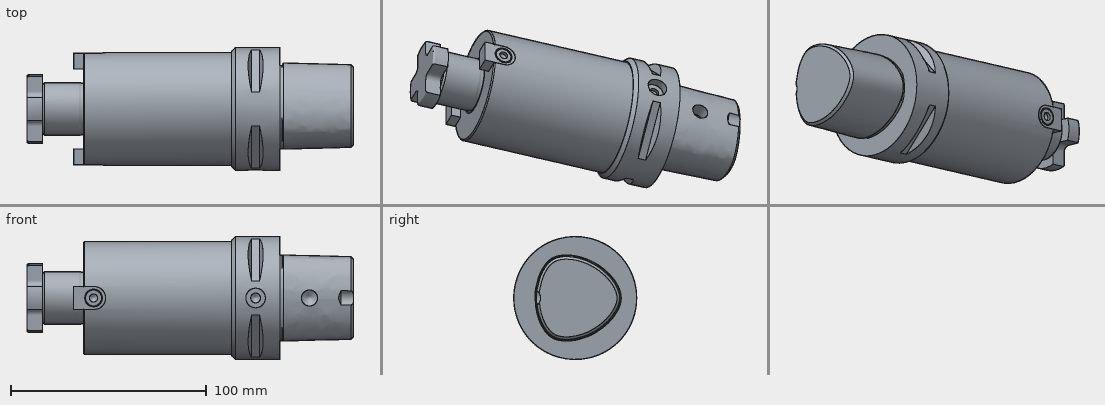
import cadquery as cq
import math


HEAD_BACK = 8.0
PILOT_START = 9.0
UNDERCUT_START = 26.9
BODY_FRONT = 28.9
BODY_BACK = 104.5
FLANGE_BACK = 129.3
NECK_END = 131.1
TAPER_START = 132.0
TOTAL_LENGTH = 167.0

HEAD_DIAMETER = 35.0
HEAD_EDGE_RADIUS = 1.0
ARM_WIDTH = 11.7
ARM_CORNER_RADIUS = 3.0
HEAD_NECK_DIAMETER = 24.7

PILOT_DIAMETER = 27.0
UNDERCUT_DIAMETER = 26.5
UNDERCUT_RAMP = 1.0
FACE_RELIEF_DEPTH = 0.25
FACE_RELIEF_FLOOR_DIAMETER = 28.0
FACE_RELIEF_DIAMETER = 29.4
BODY_DIAMETER = 58.0
BODY_CHAMFER = 0.7
FLANGE_DIAMETER = 63.0
FLANGE_FRONT_DIAMETER = 58.8
FLANGE_BEVEL = (FLANGE_DIAMETER - FLANGE_FRONT_DIAMETER) / 2

KEY_WIDTH = 11.7
KEY_FRONT = 23.9
KEY_ROUND_CENTER = 34.4
KEY_INNER = 20.4
KEY_OUTER = 28.5
SCREW_X = 34.0
SCREW_RECESS_DIAMETER = 9.0
SCREW_RECESS_DEPTH = 1.0
SCREW_HEAD_DIAMETER = 8.2
SCREW_SOCKET_DIAMETER = 4.2
SCREW_SOCKET_DEPTH = 1.7

GRIP_X = 116.9
GRIP_FLOOR_WIDTH = 4.0
GRIP_FLOOR_DISTANCE = 27.5
GRIP_MOUTH_WIDTH = 7.7
PORT_DIAMETER = 10.0
PORT_DEPTH = 5.0
PORT_DRILL_DIAMETER = 5.0
PORT_DRILL_DEPTH = 1.7

SHANK_RADIUS = 22.0
LOBE_HEIGHT = 1.5
LOBES = 3
LOBE_STEPS = 12
TAPER_SLOPE = 1 / 40
SHANK_END_CHAMFER = 1.3
NECK_INSET = 0.2
NECK_ROUND_RADIUS = 22.4
NECK_RAMP = 0.7

DRILL_POINT_ANGLE = 118
SHANK_HOLE_X = 144.5
SHANK_HOLE_DIAMETER = 8.2
SHANK_HOLE_DEPTH = 8.4
NOTCH_DIAMETER = 9.0
NOTCH_START = 160.7
NOTCH_OFFSET = 22.2


def drill(start, direction, diameter, depth):
    """Drilled hole with a pointed bottom; depth is that of the cylindrical part."""
    radius = diameter / 2
    tip = radius / math.tan(math.radians(DRILL_POINT_ANGLE / 2))
    cylinder = cq.Solid.makeCylinder(radius, depth, start, direction)
    point = cq.Solid.makeCone(radius, 0, tip, start + direction * depth, direction)
    return cq.Workplane(cylinder).union(cq.Workplane(point))


def turn(shape, angle):
    """Shape rotated about the part axis."""
    return shape.rotate((0, 0, 0), (1, 0, 0), angle)


def revolve_profile(profile):
    """Solid of revolution about X from (station, radius) points."""
    return cq.Workplane("XY").polyline(profile).close().revolve(360, (0, 0), (1, 0))


def make_turned_body():
    """Pilot, body and flange as one revolved profile."""
    profile = [
        (HEAD_BACK, 0),
        (HEAD_BACK, HEAD_NECK_DIAMETER / 2),
        (PILOT_START, PILOT_DIAMETER / 2),
        (UNDERCUT_START, PILOT_DIAMETER / 2),
        (UNDERCUT_START + UNDERCUT_RAMP, UNDERCUT_DIAMETER / 2),
        (BODY_FRONT + FACE_RELIEF_DEPTH, UNDERCUT_DIAMETER / 2),
        (BODY_FRONT + FACE_RELIEF_DEPTH, FACE_RELIEF_FLOOR_DIAMETER / 2),
        (BODY_FRONT, FACE_RELIEF_DIAMETER / 2),
        (BODY_FRONT, BODY_DIAMETER / 2 - BODY_CHAMFER),
        (BODY_FRONT + BODY_CHAMFER, BODY_DIAMETER / 2),
        (BODY_BACK, BODY_DIAMETER / 2),
        (BODY_BACK, FLANGE_FRONT_DIAMETER / 2),
        (BODY_BACK + FLANGE_BEVEL, FLANGE_DIAMETER / 2),
        (FLANGE_BACK, FLANGE_DIAMETER / 2),
        (FLANGE_BACK, 0),
    ]
    return revolve_profile(profile)


def make_cross_head():
    """Disc with a rounded front rim, trimmed to a cross with rounded inner corners."""
    disc = cq.Workplane("YZ").circle(HEAD_DIAMETER / 2).extrude(HEAD_BACK)
    disc = disc.faces("<X").edges().fillet(HEAD_EDGE_RADIUS)
    arm = cq.Workplane("YZ").rect(ARM_WIDTH, HEAD_DIAMETER).extrude(HEAD_BACK)
    cross = arm.union(turn(arm, 90))
    inside_neck = cq.selectors.BoxSelector(
        (0, -HEAD_NECK_DIAMETER / 2, -HEAD_NECK_DIAMETER / 2),
        (HEAD_BACK, HEAD_NECK_DIAMETER / 2, HEAD_NECK_DIAMETER / 2),
    )
    cross = cross.edges("|X").edges(inside_neck).fillet(ARM_CORNER_RADIUS)
    return disc.intersect(cross)


def lobed_wire(x, radius):
    """Constant-width three-lobed outline at station x, one lobe toward +Y, split at its flats."""
    lobe_angle = 2 * math.pi / LOBES

    def point(angle):
        reach = radius + LOBE_HEIGHT * math.cos(LOBES * angle)
        slope = -LOBES * LOBE_HEIGHT * math.sin(LOBES * angle)
        y = reach * math.cos(angle) - slope * math.sin(angle)
        z = reach * math.sin(angle) + slope * math.cos(angle)
        return cq.Vector(x, y, z)

    def tangent(angle):
        return cq.Vector(0, -math.sin(angle), math.cos(angle))

    edges = []
    for lobe in range(LOBES):
        start = (lobe - 0.5) * lobe_angle
        angles = [start + step * lobe_angle / LOBE_STEPS for step in range(LOBE_STEPS + 1)]
        ends = [tangent(angles[0]), tangent(angles[-1])]
        edges.append(cq.Edge.makeSpline([point(angle) for angle in angles], tangents=ends))
    return cq.Wire.assembleEdges(edges)


def lobed_solid(sections):
    """Solid with straight walls through (station, radius) sections."""
    return cq.Workplane(cq.Solid.makeLoft([lobed_wire(x, radius) for x, radius in sections], True))


def make_shank():
    """Short straight collar, then the taper and its end chamfer."""
    chamfer_start = TOTAL_LENGTH - SHANK_END_CHAMFER
    small_radius = SHANK_RADIUS - TAPER_SLOPE * (chamfer_start - TAPER_START)
    return lobed_solid([
        (NECK_END, SHANK_RADIUS),
        (TAPER_START, SHANK_RADIUS),
        (chamfer_start, small_radius),
        (TOTAL_LENGTH, small_radius - SHANK_END_CHAMFER),
    ])


def make_shank_neck():
    """Slightly smaller lobed neck whose lobes are turned down round, with a ramp up to the shank."""
    neck_radius = SHANK_RADIUS - NECK_INSET
    neck = lobed_solid([(FLANGE_BACK, neck_radius), (NECK_END, neck_radius)])
    turned_profile = [
        (FLANGE_BACK, 0),
        (FLANGE_BACK, NECK_ROUND_RADIUS),
        (NECK_END - NECK_RAMP, NECK_ROUND_RADIUS),
        (NECK_END, SHANK_RADIUS + LOBE_HEIGHT),
        (NECK_END, 0),
    ]
    return neck.intersect(revolve_profile(turned_profile))


def key_prism(inner, outer):
    """Round-ended key outline between two distances from the axis, on the -Y side."""
    half = KEY_WIDTH / 2
    return (
        cq.Workplane("XZ", origin=(0, -inner, 0))
        .moveTo(KEY_FRONT, -half)
        .lineTo(KEY_ROUND_CENTER, -half)
        .threePointArc((KEY_ROUND_CENTER + half, 0), (KEY_ROUND_CENTER, half))
        .lineTo(KEY_FRONT, half)
        .close()
        .extrude(outer - inner)
    )


def add_drive_keys(part):
    """Key with a recessed socket screw, repeated on opposite sides."""
    seat = key_prism(KEY_OUTER, BODY_DIAMETER / 2)
    screw_gap = (
        cq.Workplane("XZ", origin=(SCREW_X, -KEY_OUTER, 0))
        .circle(SCREW_RECESS_DIAMETER / 2)
        .circle(SCREW_HEAD_DIAMETER / 2)
        .extrude(-SCREW_RECESS_DEPTH)
    )
    socket = drill(
        cq.Vector(SCREW_X, -KEY_OUTER, 0), cq.Vector(0, 1, 0), SCREW_SOCKET_DIAMETER, SCREW_SOCKET_DEPTH
    )
    key = key_prism(KEY_INNER, KEY_OUTER)
    for angle in (0, 180):
        part = part.cut(turn(seat, angle)).union(turn(key, angle))
        part = part.cut(turn(screw_gap, angle)).cut(turn(socket, angle))
    return part


def cut_gripper_slots(part):
    """Four flared slots across the flange, on the diagonals between Y and Z."""
    flange_radius = FLANGE_DIAMETER / 2
    slot = (
        cq.Workplane("XZ", origin=(GRIP_X, 0, 0))
        .polyline([
            (-GRIP_FLOOR_WIDTH / 2, GRIP_FLOOR_DISTANCE),
            (GRIP_FLOOR_WIDTH / 2, GRIP_FLOOR_DISTANCE),
            (GRIP_MOUTH_WIDTH / 2, flange_radius),
            (-GRIP_MOUTH_WIDTH / 2, flange_radius),
        ])
        .close()
        .extrude(flange_radius, both=True)
    )
    for angle in (45, 135, 225, 315):
        part = part.cut(turn(slot, angle))
    return part


def cut_flange_port(part):
    """Flat-bottomed port on the -Y side with a smaller drilled hole in its floor."""
    inward = cq.Vector(0, 1, 0)
    mouth = cq.Vector(GRIP_X, -FLANGE_DIAMETER / 2, 0)
    bore = cq.Workplane(cq.Solid.makeCylinder(PORT_DIAMETER / 2, PORT_DEPTH, mouth, inward))
    return part.cut(bore).cut(drill(mouth, inward, PORT_DRILL_DIAMETER, PORT_DEPTH + PORT_DRILL_DEPTH))


def cut_shank_holes(part):
    """Radial hole in the -Y flat and a drilled notch running in from the end face."""
    flat = SHANK_RADIUS - LOBE_HEIGHT
    hole = drill(
        cq.Vector(SHANK_HOLE_X, -flat, 0), cq.Vector(0, 1, 0), SHANK_HOLE_DIAMETER, SHANK_HOLE_DEPTH
    )
    notch = drill(
        cq.Vector(TOTAL_LENGTH, -NOTCH_OFFSET, 0), cq.Vector(-1, 0, 0),
        NOTCH_DIAMETER, TOTAL_LENGTH - NOTCH_START,
    )
    return part.cut(hole).cut(notch)


result = make_turned_body().union(make_cross_head())
result = result.union(make_shank_neck()).union(make_shank())
result = add_drive_keys(result)
result = cut_gripper_slots(result)
result = cut_flange_port(result)
result = cut_shank_holes(result)